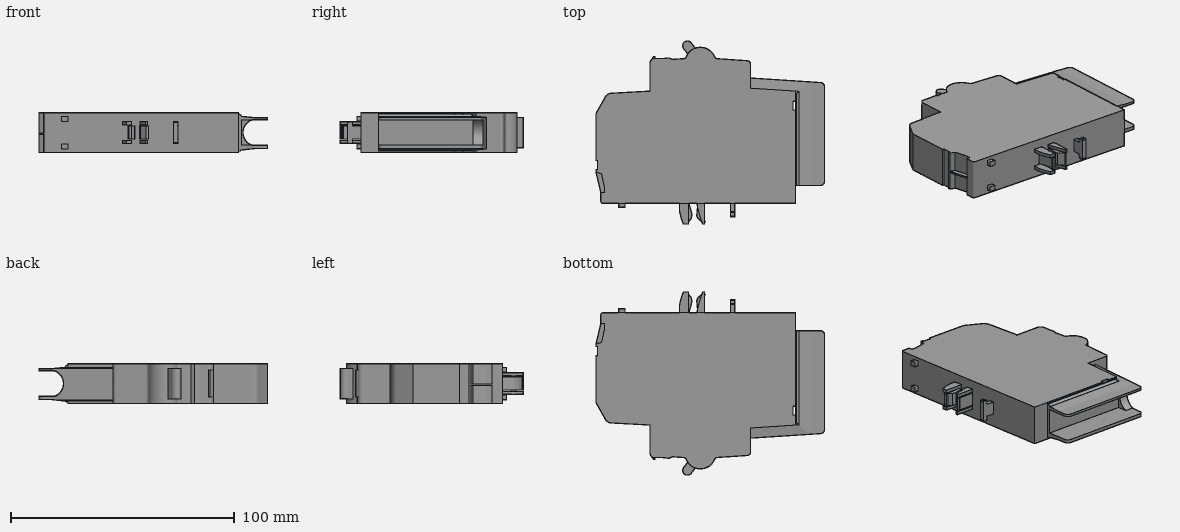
import cadquery as cq
import math


WIDTH = 17.8
BODY_RIGHT = 89.3
FOOT_LEFT = 2.2
FOOT_RADIUS = 1.0
TOWER_LEFT = 24.15
TOWER_RIGHT = 69.2
TOWER_LEFT_RADIUS = 2.1
TOWER_RIGHT_RADIUS = 1.6
TOWER_TOP = 64.8
TOWER_TOP_RIGHT = 63.75
SHOULDER_LEFT_END = (5.1, 49.2)
SHOULDER_LEFT_Y = 50.25
SHOULDER_RADIUS = 3.4
SHOULDER_RIGHT_START_Y = 51.5
SHOULDER_RIGHT_END_Y = 50.2
LEFT_SLOPE_START_Y = 40.1
SHALLOW_NOTCH_DEPTH = 0.75
SHALLOW_NOTCH_Y = (15.1, 19.15)

RECESS_TOP = 14.1
RECESS_BOTTOM = 4.8
RECESS_INNER = 3.87
RIB_WIDTH = 0.7
RIB_Z = -0.46

DOME_RADIUS = 6.9
DOME_X = 46.75
DOME_Y = 62.93
DOME_HALF_CHORD = math.sqrt(DOME_RADIUS ** 2 - (TOWER_TOP - DOME_Y) ** 2)
DOME_FLARE_RADIUS = 1.2
LEVER_RADIUS = 2.16
LEVER_TIP_X = 40.95
LEVER_TOP = 72.63
LEVER_WIDTH = 13.7
CATCH_WIDTH = 12.2
CATCH_ROOT_Y = 64.0
CATCH_RIGHT = 26.4

WINDOW_DEPTH = 1.1
WINDOW_Y = (41.8, 45.6)

HOLDER_TIP_X = 102.29
HOLDER_BOTTOM = 7.95
HOLDER_CORNER_RADIUS = 2.0
HOLDER_WING_HEIGHT = 4.6
HOLDER_FLAT_REACH = 0.5
HOLDER_STEP_REACH = 1.5
HOLDER_SLOPE_REACH = 7.3
HOLDER_ROOT_HALF = 8.3
HOLDER_STEP_HALF = 7.3
HOLDER_TIP_HALF = 6.7
HOLDER_LOWER_EXTRA = 0.5
HOLDER_GAP_HALF = 5.65
HOLDER_WEB = 1.2
FINGER_RADIUS = 6.0
FINGER_LEFT = 91.3

PEG_X = (10.2, 13.1)
PEG_LENGTH = 1.8
PEG_Z = 6.15
PEG_HEIGHT = 2.3
PEG_RADIUS = 0.4
HOOK_REACH = 9.3
LEFT_CHEEK_FRONT = 37.3
LEFT_CHEEK_BACK = 41.5
LEFT_LIP_X = 40.35
RIGHT_HOOK_FRONT = 45.05
RIGHT_CHEEK_BACK = 48.6
CHEEK_WIDTH = 1.4
CHEEK_Z = 4.15
TONGUE_WIDTH = 5.9
TAB_X = (60.1, 62.2)
TAB_LENGTH = 6.0
TAB_STEM_LENGTH = 3.7
TAB_STEM_WIDTH = 5.8
TAB_HEAD_WIDTH = 9.8
TAB_HEAD_CHAMFER = 0.45

EMBED = 0.5


def slab(points, width, z_center=0.0):
    """Closed polygon in the XY plane, extruded symmetrically about z_center."""
    outline = cq.Workplane("XY").polyline(points).close().extrude(width / 2, both=True)
    return outline.translate((0, 0, z_center))


def block(x_range, y_range, width, z_center=0.0):
    """Box given by its X and Y limits, centred on z_center."""
    return slab([(x, y) for x, y in (
        (x_range[0], y_range[0]),
        (x_range[1], y_range[0]),
        (x_range[1], y_range[1]),
        (x_range[0], y_range[1]),
    )], width, z_center)


def round_edges_at(solid, x, y, radius):
    """Round the Z-parallel edge that stands at (x, y)."""
    near = 0.05
    box = cq.selectors.BoxSelector((x - near, y - near, -WIDTH), (x + near, y + near, WIDTH))
    return solid.edges("|Z").edges(box).fillet(radius)


def make_housing():
    housing = slab([
        (FOOT_LEFT, 0),
        (BODY_RIGHT, 0),
        (BODY_RIGHT, SHOULDER_RIGHT_END_Y),
        (TOWER_RIGHT, SHOULDER_RIGHT_START_Y),
        (TOWER_RIGHT, TOWER_TOP_RIGHT),
        (53.3, TOWER_TOP),
        (40.1, TOWER_TOP),
        (36.6, 64.6),
        (34.3, 64.4),
        (32.6, 65.1),
        (30.1, TOWER_TOP),
        (TOWER_LEFT, TOWER_TOP),
        (TOWER_LEFT, SHOULDER_LEFT_Y),
        SHOULDER_LEFT_END,
        (0, LEFT_SLOPE_START_Y),
        (0, RECESS_TOP),
        (FOOT_LEFT, RECESS_BOTTOM),
    ], WIDTH)
    housing = round_edges_at(housing, TOWER_LEFT, TOWER_TOP, TOWER_LEFT_RADIUS)
    housing = round_edges_at(housing, TOWER_RIGHT, TOWER_TOP_RIGHT, TOWER_RIGHT_RADIUS)
    housing = round_edges_at(housing, *SHOULDER_LEFT_END, SHOULDER_RADIUS)
    housing = round_edges_at(housing, FOOT_LEFT, 0, FOOT_RADIUS)
    dome = cq.Workplane("XY").center(DOME_X, DOME_Y).circle(DOME_RADIUS).extrude(WIDTH / 2, both=True)
    notch = block((0, SHALLOW_NOTCH_DEPTH), SHALLOW_NOTCH_Y, WIDTH)
    window = block((BODY_RIGHT - WINDOW_DEPTH, BODY_RIGHT), WINDOW_Y, WIDTH)
    housing = housing.union(dome)
    for side in (-1, 1):
        housing = round_edges_at(housing, DOME_X + side * DOME_HALF_CHORD, TOWER_TOP, DOME_FLARE_RADIUS)
    return housing.cut(notch).cut(window)


def make_latch_recess():
    """Pocket on both sides of the central rib."""
    pocket = slab([
        (0, RECESS_TOP),
        (1.3, 13.6),
        (2.4, 13.3),
        (2.65, 12.8),
        (RECESS_INNER, 7.3),
        (RECESS_INNER, RECESS_BOTTOM),
        (FOOT_LEFT, RECESS_BOTTOM),
    ], WIDTH)
    rib = block((0, RECESS_INNER), (RECESS_BOTTOM, RECESS_TOP), RIB_WIDTH, RIB_Z)
    return pocket.cut(rib)


def make_lever():
    """Round-ended bar that points from the dome centre to the lever tip."""
    tip_y = LEVER_TOP - LEVER_RADIUS
    run = LEVER_TIP_X - DOME_X
    rise = tip_y - DOME_Y
    length = math.hypot(run, rise)
    angle = math.degrees(math.atan2(rise, run))
    bar = cq.Workplane("XY").slot2D(length + 2 * LEVER_RADIUS, 2 * LEVER_RADIUS, angle)
    bar = bar.extrude(LEVER_WIDTH / 2, both=True)
    return bar.translate(((LEVER_TIP_X + DOME_X) / 2, (tip_y + DOME_Y) / 2, 0))


def make_catch():
    """Small slanted lip on the left corner of the tower."""
    return slab([
        (24.7, CATCH_ROOT_Y),
        (25.8, 65.7),
        (CATCH_RIGHT, 65.6),
        (CATCH_RIGHT, CATCH_ROOT_Y),
    ], CATCH_WIDTH)


def holder_section(inner_reach, outer_reach):
    """Closed profile of (reach past the housing, z) points, thinning outwards."""
    upper = [
        (inner_reach, HOLDER_ROOT_HALF),
        (HOLDER_FLAT_REACH, HOLDER_ROOT_HALF),
        (HOLDER_STEP_REACH, HOLDER_STEP_HALF),
        (HOLDER_SLOPE_REACH, HOLDER_TIP_HALF),
        (outer_reach, HOLDER_TIP_HALF),
    ]
    lower = [(reach, -min(z + HOLDER_LOWER_EXTRA, HOLDER_ROOT_HALF)) for reach, z in reversed(upper)]
    return upper + lower


def make_holder():
    reach = HOLDER_TIP_X - BODY_RIGHT
    slope = (SHOULDER_RIGHT_START_Y - SHOULDER_RIGHT_END_Y) / (BODY_RIGHT - TOWER_RIGHT)
    wing_top_start = SHOULDER_RIGHT_START_Y + HOLDER_WING_HEIGHT
    wing_top_end = wing_top_start - slope * (HOLDER_TIP_X - TOWER_RIGHT)
    plan = slab([
        (BODY_RIGHT, HOLDER_BOTTOM),
        (HOLDER_TIP_X, HOLDER_BOTTOM),
        (HOLDER_TIP_X, wing_top_end),
        (TOWER_RIGHT, wing_top_start),
        (TOWER_RIGHT, SHOULDER_RIGHT_START_Y),
        (BODY_RIGHT, SHOULDER_RIGHT_END_Y),
    ], WIDTH)
    plan = round_edges_at(plan, HOLDER_TIP_X, HOLDER_BOTTOM, HOLDER_CORNER_RADIUS)
    plan = round_edges_at(plan, HOLDER_TIP_X, wing_top_end, HOLDER_CORNER_RADIUS)

    span = HOLDER_TIP_X
    fork_taper = cq.Workplane("XZ").polyline(holder_section(-span, reach)).close()
    fork_taper = fork_taper.extrude(span, both=True).translate((BODY_RIGHT, 0, 0))
    wing_taper = cq.Workplane("YZ").polyline(holder_section(-span, reach)).close()
    wing_taper = wing_taper.extrude(span, both=True)
    wing_taper = wing_taper.rotate((0, 0, 0), (0, 0, 1), -math.degrees(math.atan(slope)))
    wing_taper = wing_taper.translate((BODY_RIGHT, SHOULDER_RIGHT_END_Y - HOLDER_STEP_REACH, 0))
    holder = plan.intersect(fork_taper).intersect(wing_taper)

    gap = block(
        (BODY_RIGHT + HOLDER_WEB, HOLDER_TIP_X),
        (HOLDER_BOTTOM, SHOULDER_RIGHT_END_Y),
        2 * HOLDER_GAP_HALF,
    )
    finger_x = FINGER_LEFT + FINGER_RADIUS
    finger = cq.Workplane("XZ").center(finger_x, 0).circle(FINGER_RADIUS).extrude(span, both=True)
    past_finger = block((finger_x, HOLDER_TIP_X), (0, wing_top_start), 2 * HOLDER_GAP_HALF)
    arm_limit = block((BODY_RIGHT, HOLDER_TIP_X), (0, wing_top_start), 2 * HOLDER_GAP_HALF)
    return holder.cut(gap).cut(finger.intersect(arm_limit)).cut(past_finger)


def make_pegs():
    pegs = cq.Workplane("XY")
    for side in (-1, 1):
        peg = block(PEG_X, (-PEG_LENGTH, EMBED), PEG_HEIGHT, side * PEG_Z)
        pegs = pegs.add(peg.edges("|Y").fillet(PEG_RADIUS))
    return pegs.combine()


def make_hook(cheek_outline, tongue_outline):
    """Two thin cheeks with a wider tongue between them."""
    tongue = slab(tongue_outline, TONGUE_WIDTH)
    for side in (-1, 1):
        tongue = tongue.add(slab(cheek_outline, CHEEK_WIDTH, side * CHEEK_Z))
    return tongue.combine()


def make_left_hook():
    cheek = [
        (LEFT_CHEEK_FRONT, EMBED),
        (LEFT_CHEEK_FRONT, -3.1),
        (38.0, -6.3),
        (39.1, -HOOK_REACH),
        (LEFT_CHEEK_BACK, -HOOK_REACH),
        (LEFT_CHEEK_BACK, EMBED),
    ]
    tongue = [
        (39.75, EMBED),
        (41.0, -4.9),
        (41.1, -5.6),
        (40.9, -7.3),
        (LEFT_LIP_X, -8.7),
        (LEFT_LIP_X, -HOOK_REACH),
        (LEFT_CHEEK_BACK, -HOOK_REACH),
        (LEFT_CHEEK_BACK, -8.2),
        (42.7, -6.7),
        (43.05, -5.0),
        (42.3, -2.2),
        (LEFT_CHEEK_BACK, EMBED),
    ]
    return make_hook(cheek, tongue)


def make_right_hook():
    cheek = [
        (RIGHT_HOOK_FRONT, EMBED),
        (45.5, -1.8),
        (46.6, -6.0),
        (47.7, -HOOK_REACH),
        (RIGHT_CHEEK_BACK, -HOOK_REACH),
        (RIGHT_CHEEK_BACK, EMBED),
    ]
    tongue = [
        (45.6, EMBED),
        (RIGHT_HOOK_FRONT, -5.4),
        (45.4, -6.4),
        (46.1, -7.2),
        (47.9, -8.6),
        (48.95, -8.2),
        (RIGHT_CHEEK_BACK, -7.7),
        (RIGHT_CHEEK_BACK, EMBED),
    ]
    return make_hook(cheek, tongue)


def make_tab():
    """T-shaped tab: narrow stem with a wider head chamfered at both Z ends."""
    stem = block(TAB_X, (-TAB_STEM_LENGTH, EMBED), TAB_STEM_WIDTH)
    head = block(TAB_X, (-TAB_LENGTH, -TAB_STEM_LENGTH), TAB_HEAD_WIDTH)
    return stem.union(head.edges("|X").chamfer(TAB_HEAD_CHAMFER))


result = make_housing().cut(make_latch_recess())
for feature in (
    make_lever(),
    make_catch(),
    make_holder(),
    make_pegs(),
    make_left_hook(),
    make_right_hook(),
    make_tab(),
):
    result = result.union(feature)